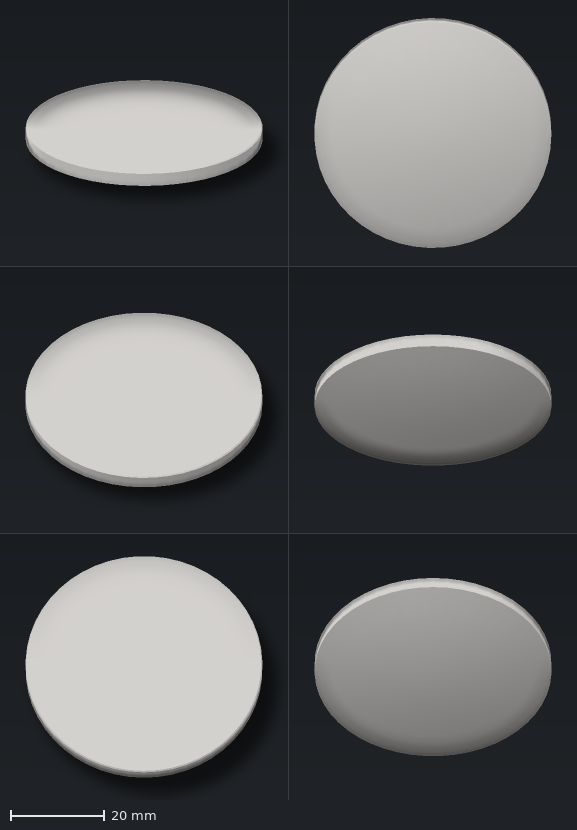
import cadquery as cq

diameter = 50.8
total_thickness = 6.8
edge_thickness = 3.05
chamfer = 0.25

radius = diameter / 2
dome_depth = total_thickness - edge_thickness
sphere_radius = (radius**2 + dome_depth**2) / (2 * dome_depth)

mid_radius = radius / 2
mid_height = sphere_radius - (sphere_radius**2 - mid_radius**2) ** 0.5

half_section = (
    cq.Workplane("XZ")
    .moveTo(0, 0)
    .threePointArc((mid_radius, mid_height), (radius, dome_depth))
    .lineTo(radius, total_thickness - chamfer)
    .lineTo(radius - chamfer, total_thickness)
    .lineTo(0, total_thickness)
    .close()
)

result = half_section.revolve(360, (0, 0, 0), (0, 1, 0))